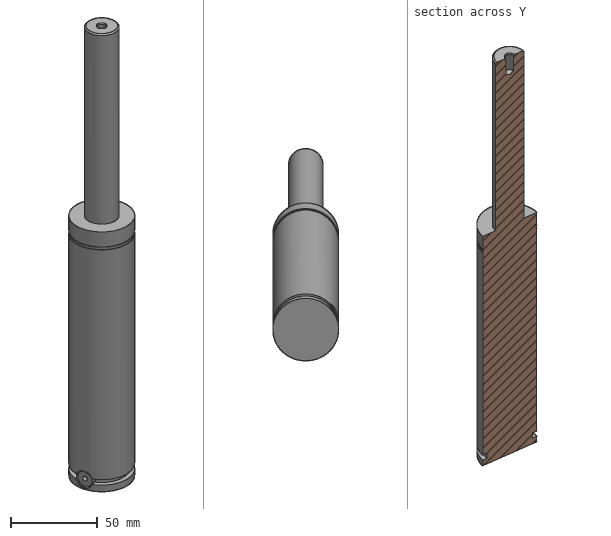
import cadquery as cq
import math

total_height = 300.0
body_diameter = 38.0
body_height = 173.5
rod_diameter = 20.0
body_radius = body_diameter / 2

rod_chamfer = 1.0
rod_hole_diameter = 5.0
rod_hole_depth = 12.0
rod_hole_chamfer = 0.5
drill_point_angle = 118.0

collar_height = 10.2
collar_groove_width = 1.8
collar_groove_depth = 0.3

flange_height = 4.5
mounting_groove_width = 3.5
mounting_groove_depth = 3.0

port_height = 6.3
port_diameter = 11.0
port_floor_diameter = 10.0
port_recess_depth = 0.5
port_plug_length = 6.0
port_hole_diameter = 3.0
port_hole_depth = 3.0
port_radius = port_diameter / 2
port_rim_offset = math.sqrt(body_radius**2 - port_radius**2)


def make_body():
    """Turned cylinder: base flange, mounting groove, tube, thin groove and collar."""
    groove_radius = body_radius - mounting_groove_depth
    tube_bottom = flange_height + mounting_groove_width
    collar_bottom = body_height - collar_height
    tube_top = collar_bottom - collar_groove_width
    thin_groove_radius = body_radius - collar_groove_depth
    profile = [
        (0, 0),
        (body_radius, 0),
        (body_radius, flange_height),
        (groove_radius, flange_height),
        (groove_radius, tube_bottom),
        (body_radius, tube_bottom),
        (body_radius, tube_top),
        (thin_groove_radius, tube_top),
        (thin_groove_radius, collar_bottom),
        (body_radius, collar_bottom),
        (body_radius, body_height),
        (0, body_height),
    ]
    return cq.Workplane("XZ").polyline(profile).close().revolve(360, (0, 0), (0, 1))


def make_rod():
    """Rod with a chamfered tip."""
    rod = (
        cq.Workplane("XY")
        .workplane(offset=body_height)
        .circle(rod_diameter / 2)
        .extrude(total_height - body_height)
    )
    return rod.faces(">Z").edges().chamfer(rod_chamfer)


def make_rod_hole():
    """Chamfered blind hole with a conical drill point."""
    hole_radius = rod_hole_diameter / 2
    shoulder = total_height - rod_hole_depth
    drill_point = hole_radius / math.tan(math.radians(drill_point_angle / 2))
    profile = [
        (0, total_height),
        (hole_radius + rod_hole_chamfer, total_height),
        (hole_radius, total_height - rod_hole_chamfer),
        (hole_radius, shoulder),
        (0, shoulder - drill_point),
    ]
    return cq.Workplane("XZ").polyline(profile).close().revolve(360, (0, 0), (0, 1))


def port_circle(diameter, face_offset):
    """Circle on the port axis, at face_offset in front of the body axis."""
    return cq.Workplane("XZ", origin=(0, -face_offset, port_height)).circle(diameter / 2)


def add_port(body):
    """Fit a port plug with a conical recess and a small centre hole."""
    port_bore = port_circle(port_diameter, body_radius).extrude(-port_plug_length)
    plug = port_circle(port_diameter, port_rim_offset).extrude(-port_plug_length)
    recess = (
        port_circle(port_diameter, port_rim_offset)
        .workplane(offset=-port_recess_depth)
        .circle(port_floor_diameter / 2)
        .loft()
    )
    centre_hole = port_circle(port_hole_diameter, port_rim_offset).extrude(
        -(port_recess_depth + port_hole_depth)
    )
    return body.cut(port_bore).union(plug).cut(recess).cut(centre_hole)


body = add_port(make_body())
result = body.union(make_rod()).cut(make_rod_hole())